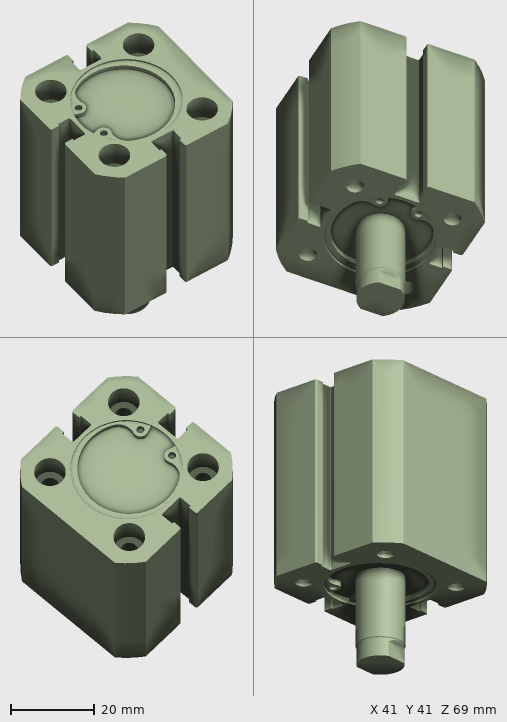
import cadquery as cq
import math


total_height = 69.0
body_width = 41.0
body_height = 48.0
half_width = body_width / 2
body_bottom = total_height - body_height
corner_radius = 25.5

bore_radius = 13.5
groove_radius = 14.35
ring_inset = 0.55
ring_thickness = 1.4
cap_thickness = 5.5
cap_inset = ring_inset + ring_thickness
front_ring_bottom = body_bottom + ring_inset
rear_ring_bottom = total_height - cap_inset
front_cap_bottom = body_bottom + cap_inset
rear_cap_bottom = rear_ring_bottom - cap_thickness

slot_depth = 6.0
slot_mouth_width = 5.4
slot_inner_width = 6.55
lip_depth = 2.5
lip_round = 0.5
slot_floor_round = 0.35
slot_turns = (0, 90, -90)

hole_pitch = 26.0
hole_radius = 2.15
counterbore_radius = 3.8
counterbore_depth = 6.9

ring_inner_radius = 12.4
ring_inner_offset = 0.9
ear_x = 5.2
ear_y = -10.5
ear_radius = 1.85
ear_hole_radius = 1.0
ear_blend_radius = 4.15

rod_radius = 6.0
tip_radius = 5.8
tip_length = 4.75
flat_length = 3.85
flat_distance = 5.05


def level(height):
    """Horizontal workplane centred on the cylinder axis."""
    return cq.Workplane("XY").workplane(offset=height)


def disc(radius, bottom, height):
    return level(bottom).circle(radius).extrude(height)


def corner_cylinders(radius, bottom, height):
    """Four upright cylinders at the mounting hole positions."""
    corners = level(bottom).rect(hole_pitch, hole_pitch, forConstruction=True).vertices()
    return corners.circle(radius).extrude(height)


def sensor_slot():
    """T-shaped slot on the -Y side, running the full height of the housing."""
    start = level(body_bottom)
    half_mouth = slot_mouth_width / 2
    face_y = -half_width
    lip_y = face_y + lip_depth
    floor_y = face_y + slot_depth
    round_y = face_y + lip_round

    mouth = (
        start.moveTo(-half_mouth - lip_round, face_y)
        .radiusArc((-half_mouth, round_y), -lip_round)
        .lineTo(-half_mouth, lip_y)
        .lineTo(half_mouth, lip_y)
        .lineTo(half_mouth, round_y)
        .radiusArc((half_mouth + lip_round, face_y), -lip_round)
        .close()
        .extrude(body_height)
    )
    channel = (
        start.center(0, (floor_y + lip_y) / 2)
        .rect(slot_inner_width, floor_y - lip_y)
        .extrude(body_height)
        .edges("|Z and >Y")
        .fillet(slot_floor_round)
    )
    return mouth.union(channel)


def make_housing():
    """Square block with trimmed corners, through bore, ring grooves, slots and mounting holes."""
    block = level(body_bottom).rect(body_width, body_width).extrude(body_height)
    housing = block.intersect(disc(corner_radius, body_bottom, body_height))
    housing = housing.cut(disc(bore_radius, body_bottom, body_height))

    for ring_bottom in (front_ring_bottom, rear_ring_bottom):
        housing = housing.cut(disc(groove_radius, ring_bottom, ring_thickness))

    slot = sensor_slot()
    for turn in slot_turns:
        housing = housing.cut(slot.rotate((0, 0, 0), (0, 0, 1), turn))

    housing = housing.cut(corner_cylinders(hole_radius, body_bottom, body_height))
    counterbore_bottom = total_height - counterbore_depth
    return housing.cut(corner_cylinders(counterbore_radius, counterbore_bottom, counterbore_depth))


def make_rear_cap():
    return disc(bore_radius, rear_cap_bottom, cap_thickness)


def make_front_cap():
    """Disc with a guide hole for the rod."""
    guide_hole = disc(rod_radius, front_cap_bottom, cap_thickness)
    return disc(bore_radius, front_cap_bottom, cap_thickness).cut(guide_hole)


def polar_point(radius, angle):
    """Point at an angle from the -Y direction, positive towards +X."""
    return (radius * math.sin(angle), -radius * math.cos(angle))


def make_snap_ring(bottom):
    """Eccentric open ring with two eyelet ears beside the gap on its -Y side."""
    start = level(bottom)
    ear_distance = math.hypot(ear_x, ear_y)
    ear_angle = math.atan2(ear_x, -ear_y)

    gap_angle = ear_angle - math.asin(ear_radius / ear_distance)
    touch_distance = math.sqrt(ear_distance**2 - ear_radius**2)
    gap_reach = 2 * groove_radius
    gap_outline = [(0, 0), polar_point(gap_reach, -gap_angle), polar_point(gap_reach, gap_angle)]

    opening = start.center(0, -ring_inner_offset).circle(ring_inner_radius).extrude(ring_thickness)
    gap = start.polyline(gap_outline).close().extrude(ring_thickness)
    ring = disc(groove_radius, bottom, ring_thickness).cut(opening).cut(gap)

    for side in (-1, 1):
        ear_centre = (side * ear_x, ear_y)
        eyelet = start.center(*ear_centre).circle(ear_radius).extrude(ring_thickness)
        neck_outline = [
            polar_point(touch_distance, side * gap_angle),
            polar_point(bore_radius, side * gap_angle),
            polar_point(bore_radius, side * ear_angle),
            ear_centre,
        ]
        neck = start.polyline(neck_outline).close().extrude(ring_thickness)
        ring = ring.union(neck).union(eyelet)

        corner_zone = cq.selectors.BoxSelector(
            (side * ear_x, ear_y, bottom),
            (side * (ear_x + 2 * ear_radius), ear_y - ear_radius, bottom + ring_thickness),
        )
        ring = ring.edges("|Z").edges(corner_zone).fillet(ear_blend_radius)
        ring = ring.cut(start.center(*ear_centre).circle(ear_hole_radius).extrude(ring_thickness))
    return ring


def make_rod():
    """Rod from the rear cap out through the front cap, its slimmer tip carrying two wrench flats."""
    rod = disc(rod_radius, tip_length, rear_cap_bottom - tip_length)
    rod = rod.faces("<Z").chamfer(rod_radius - tip_radius)
    rod = rod.union(disc(tip_radius, 0, tip_length + rod_radius - tip_radius))

    runout_top = flat_length + tip_radius - flat_distance
    flat_outline = [
        (-flat_distance, 0),
        (-flat_distance, flat_length),
        (-tip_radius, runout_top),
        (-rod_radius, runout_top),
        (-rod_radius, 0),
    ]
    flat_cut = cq.Workplane("YZ").polyline(flat_outline).close().extrude(rod_radius, both=True)
    return rod.cut(flat_cut).cut(flat_cut.mirror("XZ"))


housing = make_housing()
rear_cap = make_rear_cap()
front_cap = make_front_cap()
rod = make_rod()
snap_rings = [make_snap_ring(ring_bottom) for ring_bottom in (front_ring_bottom, rear_ring_bottom)]

result = cq.Compound.makeCompound([
    housing.solids().val(),
    rear_cap.solids().val(),
    front_cap.solids().val(),
    rod.solids().val(),
    *[snap_ring.solids().val() for snap_ring in snap_rings],
])